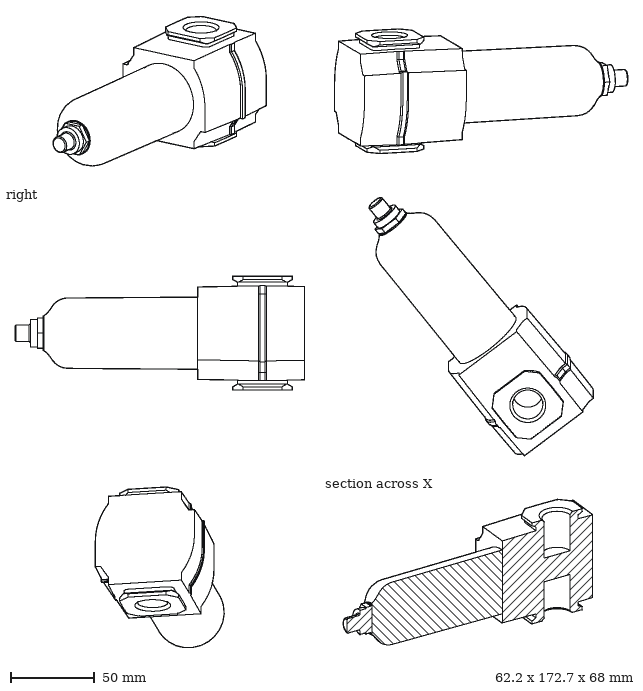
import cadquery as cq
import math

DRAFT = 1.0

HOUSING_BACK = 25.0
HOUSING_FRONT = 38.7
HOUSING_HALF_HEIGHT = 28.3
WALL_HALF_WIDTH = 30.5
CORNER_HALF_WIDTH = 22.6
CORNER_Z = 23.3
PAD_EDGE_X = 27.1
PAD_EDGE_Z = 16.6

RIB_HEIGHT = 0.6
RIB_TOP_HALF = 1.4
RIB_BASE_HALF = 2.5

PORT_TOP = 34.0
PLATE_HALF = 17.8
PLATE_CORNER = 6.2
PLATE_EDGE = 2.0
PLATE_BEVEL = 1.5
NECK_HALF = 15.0
NECK_CORNER_RADIUS = 3.5
NECK_ROOT = 1.7
PORT_RADIUS = 9.0
PORT_CHAMFER = 1.7
PORT_DEPTH = 26.0

BOWL_RADIUS = 21.6
BOWL_SHOULDER_RADIUS = 21.0
BOWL_SHOULDER_Y = -116.1
DOME_RADIUS = 11.4
DOME_EDGE_RADIUS = 15.5
END_CONE_RADIUS = 11.2
END_CONE_Y = -129.5
BOWL_END_RADIUS = 10.5
BOWL_END_Y = -130.5

COLLAR_RADIUS = 10.2
COLLAR_END_Y = -131.2
HEX_SIDES = 6
HEX_FLATS = 18.1
HEX_END_Y = -134.5
DRAIN_RADIUS = 8.3
DRAIN_END_Y = -138.5
STEM_RADIUS = 5.0
STEM_END_Y = -147.7
STEM_BASE_FLARE = 0.7
STEM_TIP_CHAMFER = 0.7


def side_points():
    """Left side of the housing outline from the top corner to the flat pad, as (X, Z)."""
    return [
        (-CORNER_HALF_WIDTH, HOUSING_HALF_HEIGHT),
        (-CORNER_HALF_WIDTH, CORNER_Z),
        (-PAD_EDGE_X, PAD_EDGE_Z),
        (-WALL_HALF_WIDTH, PAD_EDGE_Z),
        (-WALL_HALF_WIDTH, 0),
    ]


def housing_outline():
    """Outline on the parting plane; the right side is the left side turned by 180 degrees."""
    left = side_points()
    right = [(-x, -z) for x, z in left]
    outline = cq.Workplane("XZ").polyline(left)
    outline = outline.tangentArcPoint((-CORNER_HALF_WIDTH, -CORNER_Z), relative=False)
    outline = outline.lineTo(-CORNER_HALF_WIDTH, -HOUSING_HALF_HEIGHT)
    for point in right:
        outline = outline.lineTo(*point)
    outline = outline.tangentArcPoint((CORNER_HALF_WIDTH, CORNER_Z), relative=False)
    return outline.lineTo(CORNER_HALF_WIDTH, HOUSING_HALF_HEIGHT).close()


def housing_block():
    front = housing_outline().extrude(HOUSING_FRONT, taper=DRAFT)
    back = housing_outline().extrude(HOUSING_BACK, taper=DRAFT).mirror("XZ")
    return front.union(back)


def parting_rib():
    """Low rib with sloped flanks on the side walls only."""
    flank_length = RIB_BASE_HALF - RIB_TOP_HALF
    flank_angle = math.degrees(math.atan(RIB_HEIGHT / flank_length))
    crest = housing_outline().offset2D(RIB_HEIGHT, "intersection").extrude(RIB_TOP_HALF)
    crest_outline = crest.faces("<Y").wires().toPending()
    flank = crest_outline.extrude(flank_length, taper=flank_angle, combine=False)
    half = crest.union(flank)
    height_limit = cq.Workplane("XZ").rect(4 * WALL_HALF_WIDTH, 2 * HOUSING_HALF_HEIGHT)
    half = half.intersect(height_limit.extrude(RIB_BASE_HALF, taper=DRAFT))
    return half.union(half.mirror("XZ"))


def drafted_square(half, z):
    """Square at height z whose two X sides peak slightly at the parting plane."""
    peak = half + half * math.tan(math.radians(DRAFT))
    points = [(half, -half), (peak, 0), (half, half), (-half, half), (-peak, 0), (-half, -half)]
    return cq.Workplane("XY", origin=(0, 0, z)).polyline(points).close()


def port_flange():
    """Upper flange: rounded neck, bevelled underside and plate with cut corners."""
    bevel_top = PORT_TOP - PLATE_EDGE
    bevel_angle = math.degrees(math.atan((PLATE_HALF - NECK_HALF) / PLATE_BEVEL))
    plate_height = PLATE_EDGE + PLATE_BEVEL
    edge = drafted_square(PLATE_HALF, bevel_top).extrude(PLATE_EDGE)
    bevel = drafted_square(PLATE_HALF, -bevel_top).extrude(PLATE_BEVEL, taper=bevel_angle).mirror("XY")
    corner_cut = (
        drafted_square(PLATE_HALF, PORT_TOP - plate_height)
        .extrude(plate_height)
        .edges("|Z and (>Y or <Y)")
        .chamfer(PLATE_CORNER)
    )
    neck_bottom = HOUSING_HALF_HEIGHT - NECK_ROOT
    neck_height = PORT_TOP - plate_height - neck_bottom
    neck = (
        drafted_square(NECK_HALF, neck_bottom)
        .extrude(neck_height)
        .edges("|Z and (>Y or <Y)")
        .fillet(NECK_CORNER_RADIUS)
    )
    return edge.union(bevel).intersect(corner_cut).union(neck)


def port_hole():
    """Blind upper port hole with a chamfered mouth."""
    profile = [
        (0, PORT_TOP),
        (PORT_RADIUS + PORT_CHAMFER, PORT_TOP),
        (PORT_RADIUS, PORT_TOP - PORT_CHAMFER),
        (PORT_RADIUS, PORT_TOP - PORT_DEPTH),
        (0, PORT_TOP - PORT_DEPTH),
    ]
    return cq.Workplane("XZ").polyline(profile).close().revolve(360, (0, 0), (0, 1))


def make_housing():
    flange = port_flange()
    hole = port_hole()
    body = housing_block().union(parting_rib())
    body = body.union(flange).union(flange.mirror("XY"))
    return body.cut(hole).cut(hole.mirror("XY"))


def make_bowl():
    """Tapered round bowl with a domed end that narrows to the drain."""
    turn = math.acos((DOME_RADIUS - BOWL_SHOULDER_RADIUS + DOME_EDGE_RADIUS) / DOME_RADIUS)
    dome_center = BOWL_SHOULDER_RADIUS - DOME_RADIUS
    dome_middle = (
        BOWL_SHOULDER_Y - DOME_RADIUS * math.sin(turn / 2),
        dome_center + DOME_RADIUS * math.cos(turn / 2),
    )
    dome_edge = (BOWL_SHOULDER_Y - DOME_RADIUS * math.sin(turn), DOME_EDGE_RADIUS)
    return (
        cq.Workplane("YZ")
        .moveTo(-HOUSING_FRONT, 0)
        .lineTo(-HOUSING_FRONT, BOWL_RADIUS)
        .lineTo(BOWL_SHOULDER_Y, BOWL_SHOULDER_RADIUS)
        .threePointArc(dome_middle, dome_edge)
        .tangentArcPoint((END_CONE_Y, END_CONE_RADIUS), relative=False)
        .lineTo(BOWL_END_Y, BOWL_END_RADIUS)
        .lineTo(BOWL_END_Y, 0)
        .close()
        .revolve(360, (0, 0), (1, 0))
    )


def round_section(radius, start_y, end_y):
    return cq.Workplane("XZ", origin=(0, start_y, 0)).circle(radius).extrude(start_y - end_y)


def make_drain():
    """Drain fitting: collar, hexagon, round boss and stem."""
    hexagon = (
        cq.Workplane("XZ", origin=(0, COLLAR_END_Y, 0))
        .polygon(HEX_SIDES, HEX_FLATS / math.cos(math.pi / HEX_SIDES))
        .extrude(COLLAR_END_Y - HEX_END_Y)
    )
    stem = round_section(STEM_RADIUS, DRAIN_END_Y, STEM_END_Y).faces("<Y").chamfer(STEM_TIP_CHAMFER)
    flare = (
        cq.Workplane("XZ", origin=(0, DRAIN_END_Y, 0))
        .circle(STEM_RADIUS + STEM_BASE_FLARE)
        .extrude(STEM_BASE_FLARE, taper=45)
    )
    collar = round_section(COLLAR_RADIUS, BOWL_END_Y, COLLAR_END_Y)
    boss = round_section(DRAIN_RADIUS, HEX_END_Y, DRAIN_END_Y)
    return collar.union(hexagon).union(boss).union(flare).union(stem)


housing = make_housing()
bowl = make_bowl()
drain = make_drain()

result = cq.Compound.makeCompound([housing.solids().val(), bowl.solids().val(), drain.solids().val()])